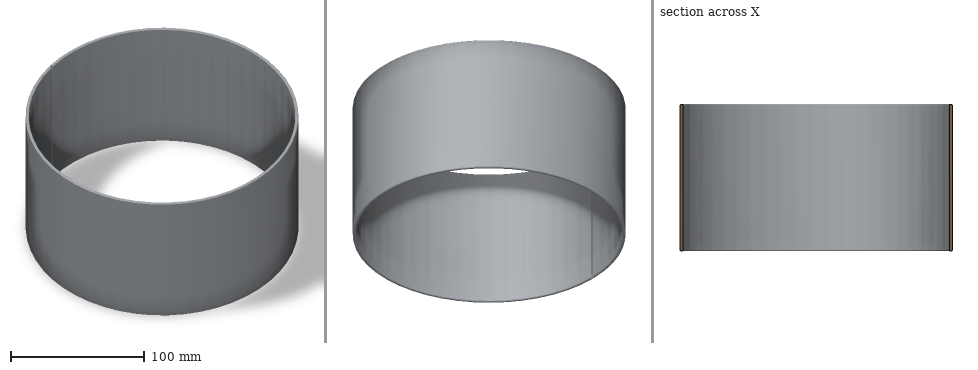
import cadquery as cq

outer_diameter = 205.0
wall = 2.5
height = 110.0
edge_chamfer = 0.5
slit_angle = 1.0

outer_radius = outer_diameter / 2
inner_radius = outer_radius - wall

wall_section = (
    cq.Sketch()
    .rect(wall, height)
    .vertices()
    .chamfer(edge_chamfer)
    .moved(cq.Location(cq.Vector(-(outer_radius + inner_radius) / 2, height / 2, 0)))
)

result = (
    cq.Workplane("XZ")
    .placeSketch(wall_section)
    .revolve(360 - slit_angle, (0, 0, 0), (0, 1, 0))
)